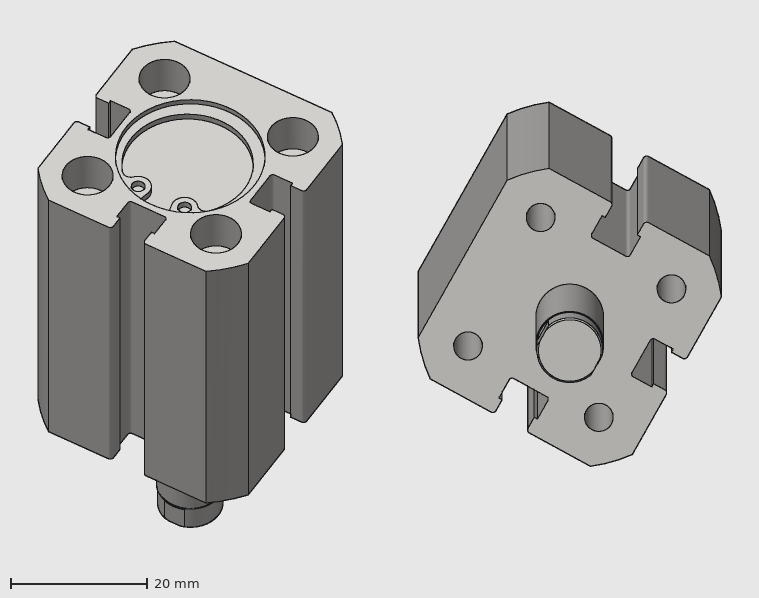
import cadquery as cq
import math


WIDTH = 36.0
HOUSING_HEIGHT = 52.0
CORNER_DIAMETER = 45.0
BOLT_SPACING = 22.0
BOLT_DIAMETER = 4.2
COUNTERBORE_DIAMETER = 7.5
COUNTERBORE_DEPTH = 7.0

SLOT_MOUTH = 5.4
SLOT_WIDTH = 6.5
SLOT_DEPTH = 6.0
LIP_THICKNESS = 2.4
LIP_RADIUS = 0.55
SLOT_CORNER_RADIUS = 0.5
SLOT_ANGLES = (0, 180, 270)

BORE_RADIUS = 11.0
RING_RECESS = 0.9
RING_THICKNESS = 1.1
CAP_THICKNESS = 4.7
RING_INNER_RADIUS = 9.7
RING_OFFSET = 0.8
LUG_X = 4.0
LUG_Y = -8.3
LUG_RADIUS = 1.95
LUG_HOLE_DIAMETER = 2.0
LUG_FILLET = 1.25

OVERALL_LENGTH = 78.0
ROD_DIAMETER = 10.0
TIP_DIAMETER = 9.7
TIP_LENGTH = 4.5
FLAT_LENGTH = 4.1
FLAT_WIDTH = 9.05
TIP_CHAMFER = 0.2

RING_TOP = HOUSING_HEIGHT - RING_RECESS
CAP_TOP = RING_TOP - RING_THICKNESS
CAP_BOTTOM = CAP_TOP - CAP_THICKNESS
ROD_BOTTOM = HOUSING_HEIGHT - OVERALL_LENGTH


def cylinder(diameter, bottom, top):
    """Upright cylinder on the Z axis."""
    return cq.Workplane("XY").workplane(offset=bottom).circle(diameter / 2).extrude(top - bottom)


def make_slot():
    """T-shaped cutter for the slot in the +X side, with rounded lips and floor corners."""
    side = WIDTH / 2
    mouth = SLOT_MOUTH / 2
    half = SLOT_WIDTH / 2
    floor = side - SLOT_DEPTH
    lip = side - LIP_THICKNESS
    slot = (
        cq.Workplane("XY")
        .moveTo(floor, -half)
        .lineTo(lip, -half)
        .lineTo(lip, -mouth)
        .lineTo(side - LIP_RADIUS, -mouth)
        .radiusArc((side, -mouth - LIP_RADIUS), LIP_RADIUS)
        .lineTo(side, mouth + LIP_RADIUS)
        .radiusArc((side - LIP_RADIUS, mouth), LIP_RADIUS)
        .lineTo(lip, mouth)
        .lineTo(lip, half)
        .lineTo(floor, half)
        .close()
        .extrude(HOUSING_HEIGHT)
    )
    return slot.faces("<X").edges("|Z").fillet(SLOT_CORNER_RADIUS)


def make_housing():
    """Square body with turned corners, sensor slots, bolt holes and the bore."""
    body = cq.Workplane("XY").rect(WIDTH, WIDTH).extrude(HOUSING_HEIGHT)
    body = body.intersect(cylinder(CORNER_DIAMETER, 0, HOUSING_HEIGHT))
    slot = make_slot()
    for angle in SLOT_ANGLES:
        body = body.cut(slot.rotate((0, 0, 0), (0, 0, 1), angle))
    body = (
        body.faces(">Z")
        .workplane(origin=(0, 0, HOUSING_HEIGHT))
        .rect(BOLT_SPACING, BOLT_SPACING, forConstruction=True)
        .vertices()
        .cboreHole(BOLT_DIAMETER, COUNTERBORE_DIAMETER, COUNTERBORE_DEPTH)
    )
    body = body.cut(cylinder(2 * BORE_RADIUS, CAP_BOTTOM, HOUSING_HEIGHT))
    return body.cut(cylinder(ROD_DIAMETER, 0, CAP_BOTTOM))


def make_end_cap():
    """Plain disc that closes the bore under the retaining ring."""
    return cylinder(2 * BORE_RADIUS, CAP_BOTTOM, CAP_TOP)


def make_retaining_ring():
    """Eccentric snap ring with two holed lugs on either side of its gap."""
    plane = cq.Workplane("XY").workplane(offset=CAP_TOP)
    outside = cylinder(2 * BORE_RADIUS, CAP_TOP, RING_TOP)
    inside = plane.center(0, -RING_OFFSET).circle(RING_INNER_RADIUS).extrude(RING_THICKNESS)
    ring = outside.cut(inside)

    lug_distance = math.hypot(LUG_X, LUG_Y)
    lug_angle = math.atan2(LUG_X, -LUG_Y)
    gap_angle = lug_angle - math.asin(LUG_RADIUS / lug_distance)
    tangent_distance = math.sqrt(lug_distance**2 - LUG_RADIUS**2)
    reach = 2 * BORE_RADIUS

    def polar(distance, angle):
        return (distance * math.sin(angle), -distance * math.cos(angle))

    lug = plane.center(LUG_X, LUG_Y).circle(LUG_RADIUS).extrude(RING_THICKNESS)
    root_outline = [
        (LUG_X, LUG_Y),
        polar(tangent_distance, gap_angle),
        polar(reach, gap_angle),
        polar(reach, lug_angle),
    ]
    root = plane.polyline(root_outline).close().extrude(RING_THICKNESS)
    lug = lug.union(root).intersect(outside)
    ring = ring.union(lug).union(lug.mirror("YZ"))

    gap = (
        plane.polyline([(0, 0), polar(reach, gap_angle), polar(reach, -gap_angle)])
        .close()
        .extrude(RING_THICKNESS)
    )
    ring = ring.cut(gap)

    blend_x = LUG_X + LUG_RADIUS / 2
    blend_y = LUG_Y - LUG_RADIUS / 2
    for side in (-1, 1):
        corner = cq.selectors.BoxSelector(
            (side * blend_x, blend_y, CAP_TOP),
            (side * BORE_RADIUS, LUG_Y + LUG_RADIUS, RING_TOP),
        )
        ring = ring.edges("|Z").edges(corner).fillet(LUG_FILLET)

    holes = plane.pushPoints([(-LUG_X, LUG_Y), (LUG_X, LUG_Y)]).circle(LUG_HOLE_DIAMETER / 2)
    return ring.cut(holes.extrude(RING_THICKNESS))


def make_rod():
    """Piston rod whose slightly thinner tip has two wrench flats."""
    shaft = cylinder(ROD_DIAMETER, ROD_BOTTOM + TIP_LENGTH, CAP_BOTTOM)
    tip = cylinder(TIP_DIAMETER, ROD_BOTTOM, ROD_BOTTOM + TIP_LENGTH)
    tip = tip.faces("<Z").chamfer(TIP_CHAMFER)
    rod = shaft.union(tip)
    flat_zone = cylinder(2 * ROD_DIAMETER, ROD_BOTTOM, ROD_BOTTOM + FLAT_LENGTH)
    between_flats = (
        cq.Workplane("XY")
        .workplane(offset=ROD_BOTTOM)
        .rect(2 * ROD_DIAMETER, FLAT_WIDTH)
        .extrude(FLAT_LENGTH)
    )
    return rod.cut(flat_zone.cut(between_flats))


housing = make_housing()
end_cap = make_end_cap()
retaining_ring = make_retaining_ring()
rod = make_rod()

bodies = (housing, end_cap, retaining_ring, rod)
result = cq.Compound.makeCompound([body.solids().val() for body in bodies])